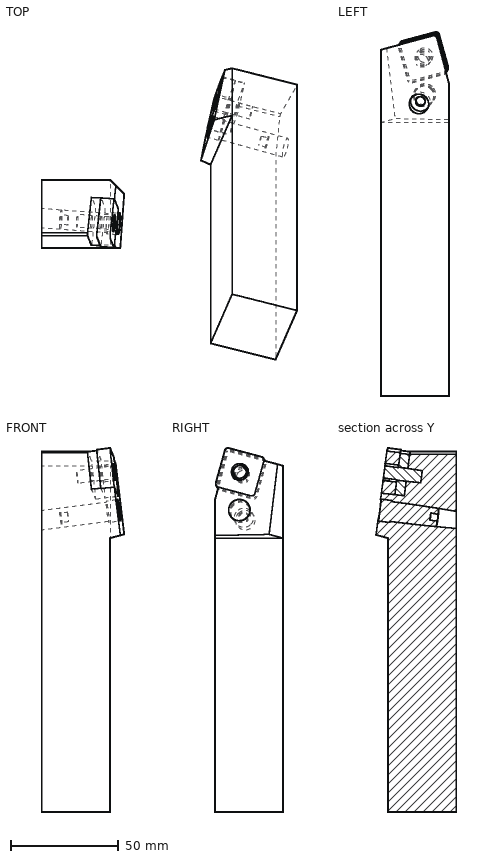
import cadquery as cq
import math


SHANK = 32.0
TOOL_LENGTH = 170.1
STOCK_WIDTH = 1.5 * SHANK
APPROACH = 15.0
TOP_BACK_Z = 161.8
BEVEL_START_Z = 145.6
CREST_CHAMFER = 1.0
OVERHANG_Z = 127.9
OVERHANG_TILT = 15.0
CORNER_TILT = 45.0

TIP_X = 31.8
TIP_Y = -10.9
TIP_Z = TOOL_LENGTH + 0.3
RAKE = 6.0
INSERT_SIDE = 19.0
INSERT_THICKNESS = 6.3
INSERT_HOLE = 7.8
NOSE_RADIUS = 1.5
SHIM_THICKNESS = 4.5
SHIM_INSET = 0.3
SEAT_DEPTH = INSERT_THICKNESS + SHIM_THICKNESS

PIN_DIAMETER = 6.0
PIN_ROOT = 6.8

SCREW_BACK = 14.1
SCREW_DOWN = 26.9
SCREW_DIAMETER = 9.0
SCREW_LENGTH = 27.2
HEAD_DIAMETER = 10.0
HEAD_LENGTH = 5.1
HEAD_RECESS = 0.3
SOCKET_DIAMETER = 4.5
SOCKET_DEPTH = 3.4

HALF = SHANK / 2
INSERT_CENTER = (INSERT_SIDE / 2, -INSERT_SIDE / 2)
SCREW_CENTER = (SCREW_BACK, -SCREW_DOWN)


def slope(degrees):
    return math.tan(math.radians(degrees))


def make_rake_plane():
    """Rake face at the tip: local +x runs back along the top edge, local -y down the front edge."""
    tilt = math.radians(APPROACH)
    across = cq.Vector(1, 0, 0)
    back = cq.Vector(0, math.cos(tilt), -math.sin(tilt))
    down = cq.Vector(0, -math.sin(tilt), -math.cos(tilt))
    return cq.Plane(
        origin=(TIP_X, TIP_Y, TIP_Z),
        xDir=back + across * slope(RAKE),
        normal=across - (back + down) * slope(RAKE),
    )


RAKE_PLANE = make_rake_plane()


def at_depth(depth):
    """Workplane parallel to the rake face, at a depth below it."""
    return cq.Workplane(RAKE_PLANE).workplane(offset=-depth)


def rod(center, diameter, top, bottom):
    """Cylinder normal to the rake face, between two depths below it."""
    return at_depth(bottom).center(*center).circle(diameter / 2).extrude(bottom - top)


def rounded_plate(top, thickness, inset=0.0):
    """Square plate below the rake face, its two free sides moved in from the cutting edges by an inset."""
    side = INSERT_SIDE - inset
    middle = inset + side / 2
    return (
        at_depth(top + thickness)
        .center(middle, -middle)
        .rect(side, side)
        .extrude(thickness)
        .edges(cq.selectors.ParallelDirSelector(RAKE_PLANE.zDir))
        .fillet(NOSE_RADIUS)
    )


def side_profile():
    """Outline in YZ: the straight bar with the tilted top face and front bevel, square to each other."""
    tilt = slope(APPROACH)
    crest_rise = (TOP_BACK_Z + SHANK * tilt - BEVEL_START_Z) / (1 + tilt**2)
    crest = (-HALF + crest_rise * tilt, BEVEL_START_Z + crest_rise)
    outline = [(-HALF, 0), (HALF, 0), (HALF, TOP_BACK_Z), crest, (-HALF, BEVEL_START_Z)]
    prism = cq.Workplane("YZ").polyline(outline).close().extrude(STOCK_WIDTH)
    crest_middle = (STOCK_WIDTH / 2, *crest)
    return prism.edges(cq.selectors.NearestToPointSelector(crest_middle)).chamfer(CREST_CHAMFER)


def front_profile():
    """Outline in XZ: the shank with the head overhanging on its +X side."""
    overhang_end_z = OVERHANG_Z + (STOCK_WIDTH - SHANK) * slope(OVERHANG_TILT)
    outline = [
        (0, 0),
        (SHANK, 0),
        (SHANK, OVERHANG_Z),
        (STOCK_WIDTH, overhang_end_z),
        (STOCK_WIDTH, TOOL_LENGTH),
        (0, TOOL_LENGTH),
    ]
    return cq.Workplane("XZ", origin=(0, HALF, 0)).polyline(outline).close().extrude(SHANK)


def plan_profile():
    """Outline in XY: the head's +X +Y corner cut off from the shank's corner outwards."""
    corner_end_y = HALF - (STOCK_WIDTH - SHANK) * slope(CORNER_TILT)
    outline = [(0, -HALF), (STOCK_WIDTH, -HALF), (STOCK_WIDTH, corner_end_y), (SHANK, HALF), (0, HALF)]
    return cq.Workplane("XY").polyline(outline).close().extrude(TOOL_LENGTH)


def make_holder():
    above_rake = cq.Workplane(RAKE_PLANE).rect(3 * TOOL_LENGTH, 3 * TOOL_LENGTH).extrude(TOOL_LENGTH)
    blank = side_profile().intersect(front_profile()).intersect(plan_profile()).cut(above_rake)

    seat = rounded_plate(0, SEAT_DEPTH)
    pin_hole = rod(INSERT_CENTER, PIN_DIAMETER, SEAT_DEPTH, SEAT_DEPTH + PIN_ROOT)
    head_hole = rod(SCREW_CENTER, HEAD_DIAMETER, 0, HEAD_RECESS + HEAD_LENGTH)
    screw_hole = rod(SCREW_CENTER, SCREW_DIAMETER, 0, 2 * SHANK)
    return blank.cut(seat).cut(pin_hole).cut(head_hole).cut(screw_hole)


def make_insert():
    return rounded_plate(0, INSERT_THICKNESS).cut(rod(INSERT_CENTER, INSERT_HOLE, 0, INSERT_THICKNESS))


def make_shim():
    plate = rounded_plate(INSERT_THICKNESS, SHIM_THICKNESS, SHIM_INSET)
    return plate.cut(rod(INSERT_CENTER, PIN_DIAMETER, INSERT_THICKNESS, SEAT_DEPTH))


def make_pin():
    """Plain pin from the rake face through insert and shim into the holder."""
    return rod(INSERT_CENTER, PIN_DIAMETER, 0, SEAT_DEPTH + PIN_ROOT)


def make_screw():
    """Headed screw with a round socket in its far end, reached from the plain flank."""
    head_bottom = HEAD_RECESS + HEAD_LENGTH
    end = HEAD_RECESS + SCREW_LENGTH
    head = rod(SCREW_CENTER, HEAD_DIAMETER, HEAD_RECESS, head_bottom)
    stem = rod(SCREW_CENTER, SCREW_DIAMETER, head_bottom, end)
    socket = rod(SCREW_CENTER, SOCKET_DIAMETER, end - SOCKET_DEPTH, end)
    return head.union(stem).cut(socket)


holder = make_holder()
shim = make_shim()
insert = make_insert()
pin = make_pin()
screw = make_screw()

result = cq.Compound.makeCompound([holder.val(), shim.val(), insert.val(), pin.val(), screw.val()])